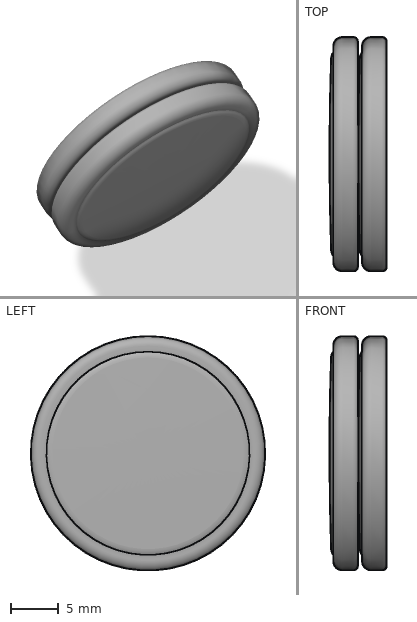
import cadquery as cq
import math

stack_length = 6.0
button_count = 2
button_depth = stack_length / button_count

rim_radius = 12.25
rim_thickness = 2.6
front_rounding = 1.0
back_rounding = front_rounding / 2

pad_radius = 10.6
dome_radius = 10.0
dome_rise = 0.17
pad_height = button_depth - rim_thickness


def arc_sagitta(arc_radius, half_chord):
    """Height of an arc above its chord."""
    return arc_radius - math.sqrt(arc_radius**2 - half_chord**2)


def make_button(apex_x):
    """One button with its dome apex at apex_x, revolved about the X axis."""
    dome_edge_x = apex_x + dome_rise
    rim_front_x = apex_x + pad_height
    back_x = apex_x + button_depth

    sphere_radius = (dome_radius**2 + dome_rise**2) / (2 * dome_rise)
    dome_middle_radius = dome_radius / 2
    dome_middle_x = apex_x + arc_sagitta(sphere_radius, dome_middle_radius)

    return (
        cq.Workplane("XZ")
        .moveTo(apex_x, 0)
        .threePointArc((dome_middle_x, dome_middle_radius), (dome_edge_x, dome_radius))
        .tangentArcPoint((rim_front_x, pad_radius), relative=False)
        .lineTo(rim_front_x, rim_radius - front_rounding)
        .tangentArcPoint((rim_front_x + front_rounding, rim_radius), relative=False)
        .lineTo(back_x - back_rounding, rim_radius)
        .tangentArcPoint((back_x, rim_radius - back_rounding), relative=False)
        .lineTo(back_x, 0)
        .close()
        .revolve(360, (0, 0, 0), (1, 0, 0))
    )


buttons = [make_button(index * button_depth - stack_length / 2) for index in range(button_count)]

result = cq.Compound.makeCompound([button.val() for button in buttons])